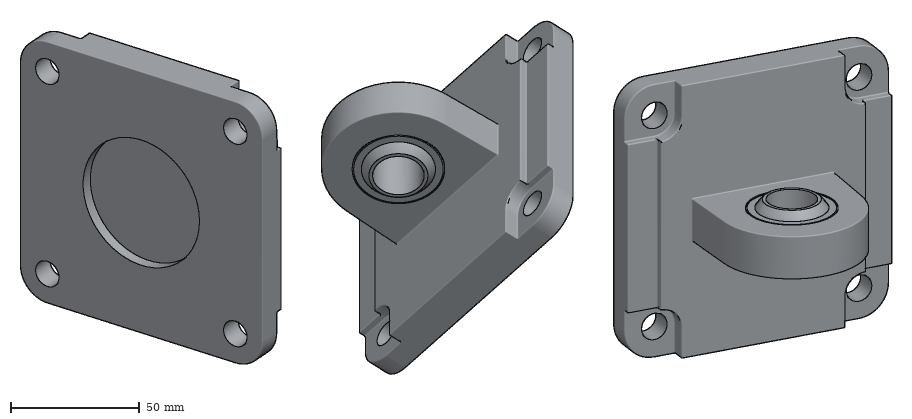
import cadquery as cq
import math

plate_side = 115.0
plate_thickness = 16.0
hole_offset = 44.5
hole_diameter = 11.0
corner_radius = plate_side / 2 - hole_offset
edge_fillet = 0.5
step_height = 13.0
seat_height = 10.0
seat_radius = 9.0
recess_diameter = 55.1
recess_depth = 5.0

lug_thickness = 17.9
eye_radius = 30.0
overall_depth = 71.0
eye_height = overall_depth - eye_radius
lug_taper = math.radians(2)

ring_diameter = 36.1
ring_edge_chamfer = 0.6
ball_radius = 17.0
ball_width = 25.1
bore_diameter = 20.1

tolerance = 0.01


def xz_block(x_size, z_size, y_low, y_high, x_mid=0.0, z_mid=0.0):
    """Box centred on (x_mid, z_mid) that spans y_low to y_high."""
    return cq.Workplane("XY").box(x_size, y_high - y_low, z_size).translate(
        (x_mid, (y_low + y_high) / 2, z_mid)
    )


def y_cylinder(diameter, length, x_mid=0.0, z_mid=0.0):
    """Cylinder that starts at the mounting face and runs along +Y."""
    return cq.Workplane("XZ").center(x_mid, z_mid).circle(diameter / 2).extrude(-length)


def make_plate():
    """Square plate with rounded corners, lowered side strips and corner bolt seats."""
    plate = xz_block(plate_side, plate_side, 0, plate_thickness)
    plate = plate.edges("|Y").fillet(corner_radius)

    strip_width = plate_side / 2 - hole_offset
    strip_mid = hole_offset + strip_width / 2
    for side in (-1, 1):
        plate = plate.cut(
            xz_block(strip_width, plate_side, step_height, plate_thickness, side * strip_mid)
        )
    for x_sign in (-1, 1):
        for z_sign in (-1, 1):
            plate = plate.cut(make_seat_cutter(x_sign, z_sign))
    return soften_edges(plate)


def make_seat_cutter(x_sign, z_sign):
    """Corner pocket, rounded around the bolt hole and open to both plate sides."""
    cutter_side = 2 * corner_radius + seat_radius
    cutter_mid = hole_offset - seat_radius + cutter_side / 2
    cutter = xz_block(
        cutter_side, cutter_side, seat_height, plate_thickness,
        x_sign * cutter_mid, z_sign * cutter_mid,
    )
    return cutter.edges("|Y").fillet(seat_radius)


def soften_edges(plate):
    """Round every edge of the plate except the smooth seams of its corner and seat arcs."""
    seat_wall = hole_offset - seat_radius

    def is_sharp(edge):
        """Edges along Y are sharp only where a seat wall meets a side of the plate."""
        along_y = abs(edge.tangentAt(0.5).y) > 0.5
        spot = edge.Center()
        near, far = sorted((abs(spot.x), abs(spot.z)))
        ends_seat_wall = near < seat_wall + tolerance and far > plate_side / 2 - tolerance
        return ends_seat_wall or not along_y

    sharp_edges = [edge for edge in plate.edges().vals() if is_sharp(edge)]
    return plate.newObject(sharp_edges).fillet(edge_fillet)


def make_lug():
    """Eye with straight sides that run tangent from its arc down to the plate."""
    tangent_x = eye_radius * math.cos(lug_taper)
    tangent_y = eye_height + eye_radius * math.sin(lug_taper)
    foot_y = plate_thickness
    foot_x = tangent_x + (tangent_y - foot_y) * math.tan(lug_taper)
    lug = (
        cq.Workplane("XY", origin=(0, 0, -lug_thickness / 2))
        .moveTo(-foot_x, foot_y)
        .lineTo(-tangent_x, tangent_y)
        .threePointArc((0, eye_height + eye_radius), (tangent_x, tangent_y))
        .lineTo(foot_x, foot_y)
        .close()
        .extrude(lug_thickness)
    )
    return lug.faces("|Z").edges("not <Y").fillet(edge_fillet)


def make_ring_blank():
    """Solid disc that fills the eye."""
    return (
        cq.Workplane("XY", origin=(0, eye_height, -lug_thickness / 2))
        .circle(ring_diameter / 2)
        .extrude(lug_thickness)
    )


def make_housing():
    """Plate and lug in one piece, with the bolt holes, front recess and bored eye."""
    housing = make_plate()
    for x_sign in (-1, 1):
        for z_sign in (-1, 1):
            housing = housing.cut(
                y_cylinder(hole_diameter, plate_thickness, x_sign * hole_offset, z_sign * hole_offset)
            )
    housing = housing.cut(y_cylinder(recess_diameter, recess_depth))
    housing = housing.union(make_lug())

    root_zone = cq.selectors.BoxSelector(
        (-hole_offset, plate_thickness - tolerance, -lug_thickness),
        (hole_offset, plate_thickness + tolerance, lug_thickness),
    )
    housing = housing.edges(root_zone).fillet(edge_fillet)
    return housing.cut(make_ring_blank())


def make_ball_blank():
    """Full sphere that shapes the seat inside the ring."""
    return cq.Workplane("XY", origin=(0, eye_height, 0)).sphere(ball_radius)


def make_ring():
    """Bearing ring with chamfered rims and a spherical seat."""
    ring = make_ring_blank().faces("|Z").edges().chamfer(ring_edge_chamfer)
    return ring.cut(make_ball_blank())


def make_ball():
    """Barrel with a spherical outside, flat ends and the pin bore along Z."""
    half_width = ball_width / 2
    face_radius = math.sqrt(ball_radius**2 - half_width**2)
    bore_radius = bore_diameter / 2
    ball = (
        cq.Workplane("XZ")
        .moveTo(bore_radius, -half_width)
        .lineTo(face_radius, -half_width)
        .threePointArc((ball_radius, 0), (face_radius, half_width))
        .lineTo(bore_radius, half_width)
        .close()
        .revolve(360, (0, 0), (0, 1))
    )
    return ball.translate((0, eye_height, 0))


housing = make_housing().solids()
bearing_ring = make_ring().solids()
bearing_ball = make_ball().solids()

result = cq.Compound.makeCompound([housing.val(), bearing_ring.val(), bearing_ball.val()])